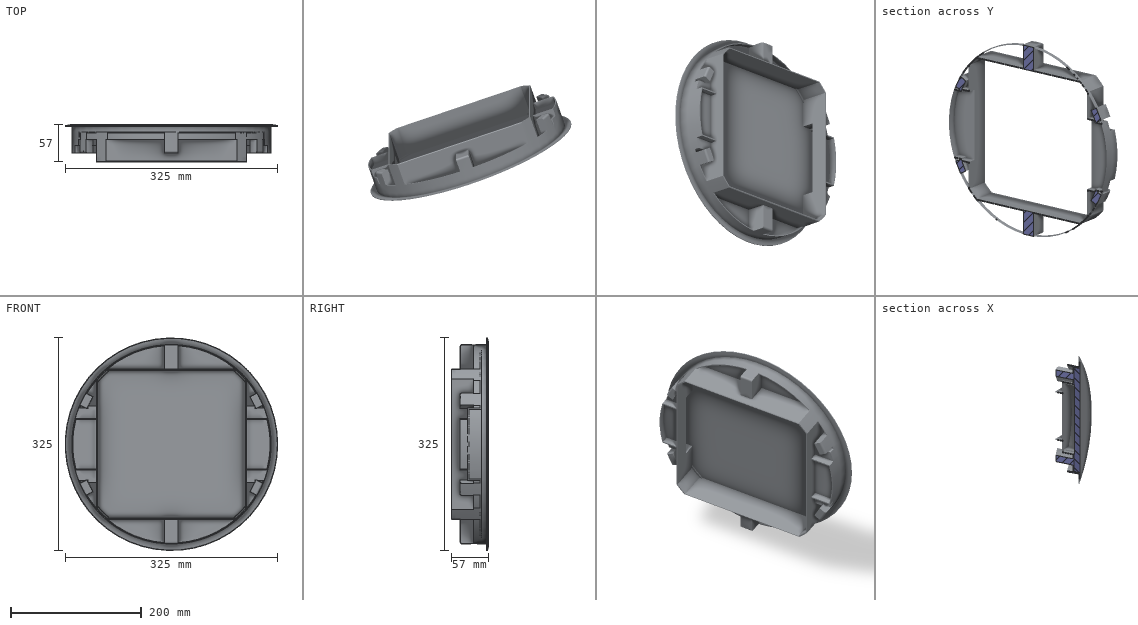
import cadquery as cq
import math


flange_radius = 162.5
flange_depth = 3.0
flange_edge_start = 1.7
flange_flat_radius = 154.0
ring_radius = 152.5
wall = 2.0
ring_wall = 1.5
ring_inner_radius = ring_radius - ring_wall
ring_depth = flange_depth + 20.0
blank_size = 2 * flange_radius

tray_size = 230.0
tray_inner_size = tray_size - 2 * wall
tray_inner_radius = ring_radius - wall
tray_depth = 57.0
tray_edge_chamfer = 1.0

lid_depth = 11.2
floor_depth = 13.0
corner_ledge = 3.0

block_width = 20.5
block_depth = 43.5
block_round = 3.0
block_angle = 27.0
end_block_angles = [90, 270]
side_block_angles = [block_angle, 180 - block_angle, 180 + block_angle, 360 - block_angle]
side_block_inner = 140.0

passage_depth = 32.3
passage_half_height = 58.3
passage_outer_half_height = 55.4
passage_step_x = 128.0
rib_half_height = 39.6


def disc(radius, start, end):
    """Cylinder about the Y axis between two depths."""
    return cq.Workplane("XZ").workplane(offset=start).circle(radius).extrude(end - start)


def block(x_size, z_size, start, end):
    """Centred rectangular block between two depths."""
    return cq.Workplane("XZ").workplane(offset=start).rect(x_size, z_size).extrude(end - start)


def rounded_square(size, corner_radius, start, end):
    """Square whose corners are cut by a circle about the centre."""
    return block(size, size, start, end).intersect(disc(corner_radius, start, end))


def make_lid():
    return disc(ring_inner_radius, 0, lid_depth)


def make_flange():
    flange_inner_radius = ring_radius - ring_wall / 2
    profile = [
        (flange_inner_radius, 0),
        (flange_flat_radius, 0),
        (flange_radius, -flange_edge_start),
        (flange_radius, -flange_depth),
        (flange_inner_radius, -flange_depth),
    ]
    return cq.Workplane("XY").polyline(profile).close().revolve(360, (0, 0, 0), (0, 1, 0))


def passage_outline(inset, start, end):
    """Passage block across the whole part, with its height shrunk by a wall inset."""
    tall = block(2 * passage_step_x, 2 * (passage_half_height - inset), start, end)
    low = block(blank_size, 2 * (passage_outer_half_height - inset), start, end)
    return tall.union(low)


def make_passage_ribs():
    """Ribs and end walls that stand on the passage covers."""
    size = 2 * rib_half_height
    ribs = block(blank_size, size, lid_depth, block_depth)
    hollow = block(blank_size, size - 2 * wall, lid_depth, block_depth)
    return ribs.cut(hollow.intersect(disc(ring_inner_radius, lid_depth, block_depth)))


def make_ring_block(inner_distance, angle):
    """Block that reaches outward from a flat inner face, past the ring."""
    length = blank_size / 2 - inner_distance
    strip = (
        cq.Workplane("XZ")
        .workplane(offset=lid_depth)
        .center(inner_distance + length / 2, 0)
        .rect(length, block_width)
        .extrude(block_depth - lid_depth)
    )
    return strip.rotate((0, 0, 0), (0, 1, 0), angle)


def round_block_edge(body, angle):
    """Round the front edge of a ring block where it meets the ring surface."""
    turn = math.radians(angle)
    edge_point = (ring_radius * math.cos(turn), -block_depth, -ring_radius * math.sin(turn))
    return body.edges(cq.NearestToPointSelector(edge_point)).fillet(block_round)


def make_housing():
    body = block(blank_size, blank_size, 0, ring_depth)
    body = body.cut(disc(ring_inner_radius, 0, lid_depth))
    body = body.cut(disc(ring_inner_radius, floor_depth, ring_depth))
    body = body.union(passage_outline(0, lid_depth, passage_depth))
    body = body.union(make_passage_ribs())
    for angle in end_block_angles:
        body = body.union(make_ring_block(tray_inner_size / 2, angle))
    for angle in side_block_angles:
        body = body.union(make_ring_block(side_block_inner, angle))
    tray = block(tray_size, tray_size, lid_depth, tray_depth)
    body = body.union(tray.faces("<Y").edges("|X").chamfer(tray_edge_chamfer))
    body = body.intersect(disc(ring_radius, 0, tray_depth))
    for angle in end_block_angles + side_block_angles:
        body = round_block_edge(body, angle)

    passage_end = passage_depth - wall
    passage_cavity = passage_outline(wall, lid_depth, passage_end)
    body = body.cut(passage_cavity.intersect(disc(ring_inner_radius, lid_depth, passage_end)))
    body = body.cut(rounded_square(tray_inner_size, tray_inner_radius, floor_depth, tray_depth))
    opening_radius = tray_inner_radius - corner_ledge
    body = body.cut(rounded_square(tray_inner_size, opening_radius, lid_depth, floor_depth))
    return body.union(make_flange())


housing = make_housing()
lid = make_lid()

result = cq.Compound.makeCompound([housing.val(), lid.val()])